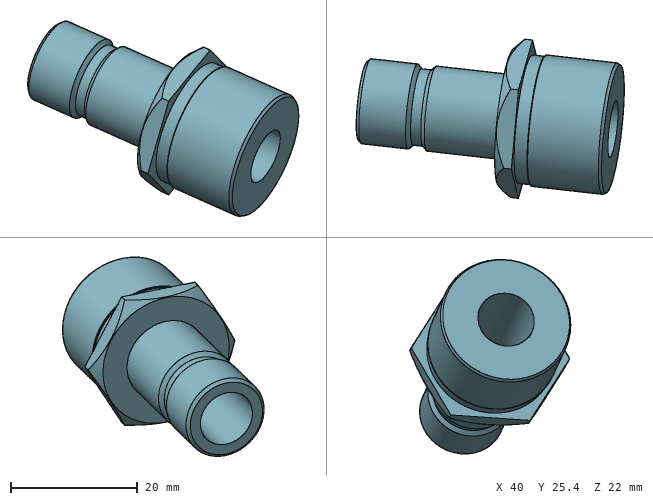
import cadquery as cq
import math

total_length = 40.0
groove_start = 8.0
groove_end = 11.0
hex_start = 23.0
hex_thickness = 3.0
thread_start = 28.1

bore_diameter = 9.0
stem_diameter = 13.5
groove_diameter = 12.15
neck_diameter = 20.4
thread_diameter = 20.9

hex_across_flats = 22.0
hex_face_diameter = 21.85

stem_chamfer = 0.5
thread_start_chamfer = 0.1
thread_end_chamfer_length = 0.5
thread_end_chamfer_depth = 0.3

hex_end = hex_start + hex_thickness
hex_across_corners = hex_across_flats / math.cos(math.pi / 6)
stem_radius = stem_diameter / 2
groove_radius = groove_diameter / 2
groove_wall = stem_radius - groove_radius
neck_radius = neck_diameter / 2
thread_radius = thread_diameter / 2


def make_turned_body():
    """Solid of revolution about X: grooved stem, neck and threaded end."""
    profile = [
        (0, 0),
        (0, stem_radius - stem_chamfer),
        (stem_chamfer, stem_radius),
        (groove_start, stem_radius),
        (groove_start + groove_wall, groove_radius),
        (groove_end - groove_wall, groove_radius),
        (groove_end, stem_radius),
        (hex_start, stem_radius),
        (hex_start, neck_radius),
        (thread_start, neck_radius),
        (thread_start, thread_radius - thread_start_chamfer),
        (thread_start + thread_start_chamfer, thread_radius),
        (total_length - thread_end_chamfer_length, thread_radius),
        (total_length, thread_radius - thread_end_chamfer_depth),
        (total_length, 0),
    ]
    return cq.Workplane("XY").polyline(profile).close().revolve(360, (0, 0), (1, 0))


def make_hexagon():
    """Hexagon with corners on Y; a 45 degree cone trims the corners facing the stem."""
    prism = (
        cq.Workplane("YZ", origin=(hex_start, 0, 0))
        .polygon(6, hex_across_corners)
        .extrude(hex_thickness)
    )
    face_radius = hex_face_diameter / 2
    cone_profile = [
        (hex_start, 0),
        (hex_start, face_radius),
        (hex_end, face_radius + hex_thickness),
        (hex_end, 0),
    ]
    cone = cq.Workplane("XY").polyline(cone_profile).close().revolve(360, (0, 0), (1, 0))
    return prism.intersect(cone)


def make_bore():
    """Plain bore running the full length."""
    return cq.Workplane("YZ").circle(bore_diameter / 2).extrude(total_length)


result = make_turned_body().union(make_hexagon()).cut(make_bore())